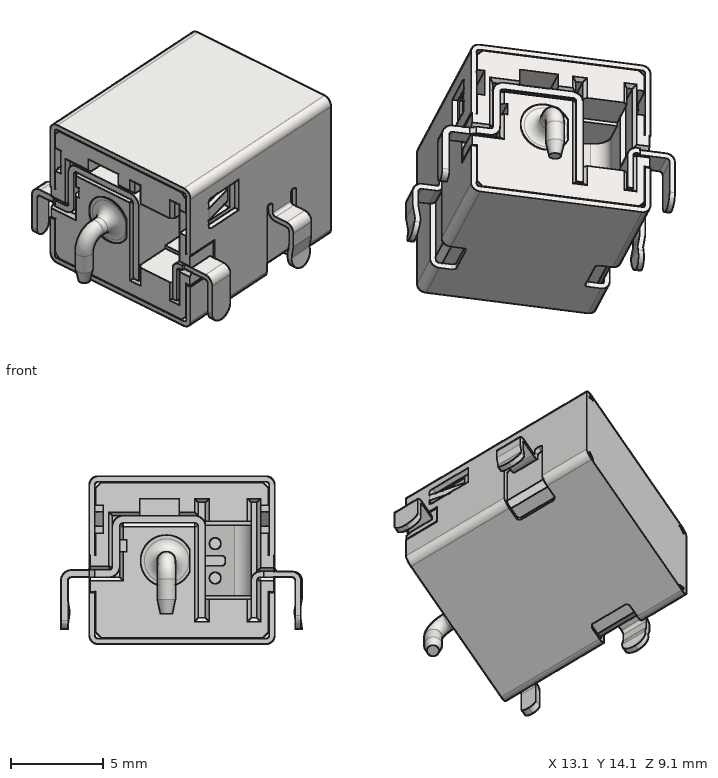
import cadquery as cq
import math


ROUND_MARGIN = 0.001

SHELL_WIDTH = 10.04
SHELL_DEPTH = 11.6
SHELL_HEIGHT = 9.1
SHEET = 0.31
SHELL_RADIUS = 0.5
SIDE = SHELL_WIDTH / 2
INNER_SIDE = SIDE - SHEET

BLOCK_GAP = 0.04
GAP_DEPTH = 0.28
BLOCK_CHAMFER = 0.37

LUG_DEPTH = 2.02
LUG_BOTTOM = 2.79
LUG_TOP = 4.81
LUG_CLEARANCE = 0.05

LATCH_FRONT = 1.51
LATCH_BACK = 4.0
LATCH_MIDDLE = 6.77
LATCH_HEIGHT = 2.0
LATCH_RADIUS = 0.23
RECESS_DEPTH = 0.45
RECESS_BACK = 3.58
RECESS_HEIGHT = 1.51
TONGUE_HEIGHT = 0.78
TONGUE_INSET = 0.44

SHELL_LEG_MIDDLE = 7.53
SHELL_LEG_WIDTH = 1.5
ARM_TOP = 3.93
SHELL_LEG_REACH = 6.5
RELIEF = 0.47
RELIEF_TOP = LUG_TOP
OPENING_TOP = 4.12
KINK_START = 2.54
KINK_HEIGHT = 1.75
KINK = 0.13
LEG_TIP = 0.82
FLOOR_NOTCH = 1.41
FLOOR_NOTCH_RADIUS = 0.21

GROOVE_CHAMFER = 0.2
INNER_BEND = GROOVE_CHAMFER
SLOT_BOTTOM = 1.42
SLOT_TOP = 7.67

LEFT_GROOVE_DEPTH = 1.97
LEFT_CONTACT_FRONT = 0.05
LEFT_LEG_FRONT = 0.25
LEFT_SHEET = 0.4
LEFT_LEG_OUTER = -6.55
LEFT_LEG_WIDTH = 0.95
LEFT_LEG_TOP = 4.02
LEFT_RISER = -3.76
LEFT_BRIDGE_TOP = 6.95
LEFT_SLOT = 0.87

RIGHT_GROOVE_DEPTH = 1.64
RIGHT_LEG_FRONT = 0.17
RIGHT_STEP = 4.43
RIGHT_LEG_OUTER = 6.43
RIGHT_LEG_WIDTH = 1.51
RIGHT_SLOT = 3.74

POCKET_LEFT = LEFT_SLOT + LEFT_SHEET
POCKET_RIGHT = RIGHT_SLOT
POCKET_TOP = 6.64
POCKET_BOTTOM = 2.43
POCKET_LEDGE = 0.2
LEDGE_DEPTH = 2.25
POCKET_DEPTH = 4.51
POCKET_SLOPE = 0.56
POCKET_CURVE = 0.92
SOCKET_RADIUS = 0.31
SOCKET_X = 1.79
SOCKET_PITCH = 1.86
SOCKET_DEPTH = 0.99
KEY_END = 2.34
KEY_HEIGHT = 0.54
KEY_RADIUS = 0.18

BRIDGE_RECESS_WIDTH = 2.15
BRIDGE_RECESS_X = -1.21
BRIDGE_RECESS_TOP = 7.87
BRIDGE_RECESS_DEPTH = 1.69
NOTCH_WIDTH = 0.4
NOTCH_BOTTOM = 5.0
NOTCH_HEIGHT = 0.63

PIN_X = -0.85
PIN_Z = 4.51
PIN_RADIUS = 0.5
PIN_REACH = 2.5
PIN_BEND = 0.97
PIN_BEND_END = PIN_Z - PIN_BEND
PIN_TAPER_START = 2.43
PIN_TIP = 1.64
PIN_TIP_RADIUS = 0.32
FLARE_RADIUS = 0.7
SEAT_RADIUS = 1.4
SEAT_FLAT = 1.25
SEAT_DEPTH = 0.04


def box(x0, x1, y0, y1, z0, z1):
    return cq.Workplane("XY").box(x1 - x0, y1 - y0, z1 - z0, centered=False).translate((x0, y0, z0))


def both_sides(left):
    return left.union(left.mirror("YZ"))


def groove(x0, x1, z0, z1, depth):
    """Straight groove cut from the front face, with a 45 degree chamfer at its mouth."""
    mouth = (
        cq.Workplane("XZ", origin=((x0 + x1) / 2, 0, (z0 + z1) / 2))
        .rect(x1 - x0 + 2 * GROOVE_CHAMFER, z1 - z0 + 2 * GROOVE_CHAMFER)
        .extrude(-GROOVE_CHAMFER, taper=45)
    )
    return box(x0, x1, 0, depth, z0, z1).union(mouth)


def corner_relief(x, z, x_side, z_side, depth):
    """Rounds the block corner inside a groove bend, down to a sharp corner at the front face."""
    centre_x = x + x_side * GROOVE_CHAMFER
    centre_z = z + z_side * GROOVE_CHAMFER
    corner = box(min(x, centre_x), max(x, centre_x), 0, depth, min(z, centre_z), max(z, centre_z))
    forward = cq.Vector(0, 1, 0)
    cone = cq.Solid.makeCone(0, INNER_BEND, GROOVE_CHAMFER, cq.Vector(centre_x, 0, centre_z), forward)
    post = cq.Solid.makeCylinder(
        INNER_BEND, depth - GROOVE_CHAMFER, cq.Vector(centre_x, GROOVE_CHAMFER, centre_z), forward
    )
    return corner.cut(cq.Workplane(cone)).cut(cq.Workplane(post))


def bent_strip(points, thickness, bend, y0, y1):
    """Sheet strip along square-cornered centreline points (x, z), bent to one inside radius."""
    radius = bend + thickness / 2
    path = cq.Workplane("XZ", origin=(0, (y0 + y1) / 2, 0)).moveTo(*points[0])
    for before, corner, after in zip(points, points[1:], points[2:]):
        corner = cq.Vector(*corner)
        arrive = (corner - cq.Vector(*before)).normalized()
        leave = (cq.Vector(*after) - corner).normalized()
        centre = corner + (leave - arrive) * radius
        middle = centre + (arrive - leave) * (radius / math.sqrt(2))
        start = corner - arrive * radius
        end = corner + leave * radius
        path = path.lineTo(start.x, start.y).threePointArc((middle.x, middle.y), (end.x, end.y))
    path = path.lineTo(*points[-1])
    first = cq.Vector(*points[0])
    heading = (cq.Vector(*points[1]) - first).normalized()
    section = cq.Plane(
        origin=(first.x, (y0 + y1) / 2, first.y), xDir=(0, 1, 0), normal=(heading.x, 0, heading.y)
    )
    return cq.Workplane(section).rect(y1 - y0, thickness).sweep(path)


def round_tip(leg, width):
    return leg.faces("<Z").edges("|X").fillet(width / 2 - ROUND_MARGIN)


def make_shell():
    outer = box(-SIDE, SIDE, 0, SHELL_DEPTH, 0, SHELL_HEIGHT).edges("|Y").fillet(SHELL_RADIUS)
    inner = box(-INNER_SIDE, INNER_SIDE, 0, SHELL_DEPTH, SHEET, SHELL_HEIGHT - SHEET)
    shell = outer.cut(inner.edges("|Y").fillet(SHELL_RADIUS - SHEET))
    lug_opening = box(-SIDE, -INNER_SIDE, 0, LUG_DEPTH, LUG_BOTTOM, LUG_TOP)
    latch_window = box(
        -SIDE, -INNER_SIDE, LATCH_FRONT, LATCH_BACK,
        LATCH_MIDDLE - LATCH_HEIGHT / 2, LATCH_MIDDLE + LATCH_HEIGHT / 2,
    ).faces("<Y").edges("|X").fillet(LATCH_RADIUS)
    openings = lug_opening.union(latch_window).union(make_leg_opening())
    bent_parts = make_tongue().union(make_shell_leg())
    return shell.cut(both_sides(openings)).union(both_sides(bent_parts))


def make_leg_opening():
    half = SHELL_LEG_WIDTH / 2 + RELIEF
    y0 = SHELL_LEG_MIDDLE - half
    y1 = SHELL_LEG_MIDDLE + half
    opening = box(-SIDE, -INNER_SIDE, y0, y1, 0, OPENING_TOP)
    for start in (y0, y1 - RELIEF):
        slot = box(-SIDE, -INNER_SIDE, start, start + RELIEF, SHEET, RELIEF_TOP)
        opening = opening.union(slot.faces(">Z").edges("|X").fillet(RELIEF / 2 - ROUND_MARGIN))
    notch = box(-SIDE, -SIDE + FLOOR_NOTCH, y0, y1, 0, SHEET)
    notch = notch.faces(">X").edges("|Z").fillet(FLOOR_NOTCH_RADIUS)
    corner = box(-SIDE, -SIDE + SHELL_RADIUS, y0, y1, 0, SHELL_RADIUS)
    return opening.union(notch).union(corner)


def make_tongue():
    """Latch tongue hinged at the front of its window and sloping into the block's recess."""
    tip = INNER_SIDE - TONGUE_INSET
    return (
        cq.Workplane("XY", origin=(0, 0, LATCH_MIDDLE - TONGUE_HEIGHT / 2))
        .polyline([
            (-SIDE, LATCH_FRONT), (-INNER_SIDE, LATCH_FRONT),
            (-tip, RECESS_BACK), (-tip - SHEET, RECESS_BACK),
        ])
        .close()
        .extrude(TONGUE_HEIGHT)
    )


def make_shell_leg():
    y0 = SHELL_LEG_MIDDLE - SHELL_LEG_WIDTH / 2
    y1 = SHELL_LEG_MIDDLE + SHELL_LEG_WIDTH / 2
    wall = -SIDE + SHEET / 2
    arm = ARM_TOP - SHEET / 2
    leg = -SHELL_LEG_REACH + SHEET / 2
    upper = bent_strip(
        [(wall, RELIEF_TOP), (wall, arm), (leg, arm), (leg, KINK_START)], SHEET, INNER_BEND, y0, y1
    )
    outer = -SHELL_LEG_REACH
    lower = (
        cq.Workplane("XZ", origin=(0, y0, 0))
        .polyline([
            (outer, KINK_START), (outer + KINK, KINK_HEIGHT), (outer, LEG_TIP),
            (outer + SHEET, LEG_TIP), (outer + SHEET + KINK, KINK_HEIGHT), (outer + SHEET, KINK_START),
        ])
        .close()
        .extrude(y0 - y1)
    )
    return upper.union(round_tip(lower, SHELL_LEG_WIDTH))


def make_block():
    block = box(-INNER_SIDE, INNER_SIDE, 0, SHELL_DEPTH, SHEET, SHELL_HEIGHT - SHEET)
    block = block.edges("|Y").chamfer(BLOCK_CHAMFER)
    front = box(-INNER_SIDE, INNER_SIDE, 0, GAP_DEPTH, SHEET, SHELL_HEIGHT - SHEET)
    kept = box(
        -INNER_SIDE + BLOCK_GAP, INNER_SIDE - BLOCK_GAP, 0, GAP_DEPTH,
        SHEET + BLOCK_GAP, SHELL_HEIGHT - SHEET - BLOCK_GAP,
    )
    block = block.cut(front.cut(kept))
    lug = box(
        -SIDE + LUG_CLEARANCE, -INNER_SIDE + BLOCK_GAP, 0, LUG_DEPTH - LUG_CLEARANCE,
        LUG_BOTTOM + LUG_CLEARANCE, LUG_TOP,
    )
    latch_recess = box(
        -INNER_SIDE, -INNER_SIDE + RECESS_DEPTH, 0, RECESS_BACK,
        LATCH_MIDDLE - RECESS_HEIGHT / 2, LATCH_MIDDLE + RECESS_HEIGHT / 2,
    )
    block = block.union(both_sides(lug)).cut(both_sides(latch_recess))
    return block.cut(make_grooves()).cut(make_pocket()).cut(make_small_recesses())


def make_grooves():
    left_arm = LEFT_LEG_TOP - LEFT_SHEET
    left_bridge = LEFT_BRIDGE_TOP - LEFT_SHEET
    right_arm = ARM_TOP - SHEET
    riser_end = LEFT_RISER + LEFT_SHEET
    left_slot_end = LEFT_SLOT + LEFT_SHEET
    right_slot_end = RIGHT_SLOT + SHEET
    mouth_side = SIDE + GROOVE_CHAMFER
    left_deep = LEFT_GROOVE_DEPTH
    right_deep = RIGHT_GROOVE_DEPTH
    pieces = [
        groove(-mouth_side, riser_end, left_arm, LEFT_LEG_TOP, left_deep),
        groove(LEFT_RISER, riser_end, left_arm, LEFT_BRIDGE_TOP, left_deep),
        groove(LEFT_RISER, left_slot_end, left_bridge, LEFT_BRIDGE_TOP, left_deep),
        groove(LEFT_SLOT, left_slot_end, SLOT_BOTTOM, SLOT_TOP, left_deep),
        corner_relief(LEFT_RISER, LEFT_LEG_TOP, -1, 1, left_deep),
        corner_relief(riser_end, left_bridge, 1, -1, left_deep),
        corner_relief(LEFT_SLOT, left_bridge, -1, -1, left_deep),
        groove(RIGHT_SLOT, right_slot_end, SLOT_BOTTOM, SLOT_TOP, right_deep),
        groove(RIGHT_SLOT, mouth_side, right_arm, ARM_TOP, right_deep),
        corner_relief(right_slot_end, right_arm, 1, -1, right_deep),
    ]
    grooves = pieces[0]
    for piece in pieces[1:]:
        grooves = grooves.union(piece)
    return grooves


def make_pocket():
    """Stepped pocket whose sloping back wall holds sockets and curves forward on the right."""
    floor = POCKET_BOTTOM + POCKET_LEDGE
    ceiling = POCKET_TOP - POCKET_LEDGE
    pocket = box(POCKET_LEFT, POCKET_RIGHT, 0, LEDGE_DEPTH, POCKET_BOTTOM, POCKET_TOP)
    curve_left = POCKET_RIGHT - POCKET_CURVE
    inner = (
        cq.Workplane("XY", origin=(0, 0, floor))
        .moveTo(POCKET_LEFT, LEDGE_DEPTH)
        .lineTo(POCKET_LEFT, POCKET_DEPTH + POCKET_SLOPE)
        .lineTo(curve_left, POCKET_DEPTH)
        .radiusArc((POCKET_RIGHT, POCKET_DEPTH - POCKET_CURVE), POCKET_CURVE)
        .lineTo(POCKET_RIGHT, LEDGE_DEPTH)
        .close()
        .extrude(ceiling - floor)
    )
    sockets = (
        cq.Workplane("XZ", origin=(SOCKET_X, POCKET_DEPTH, PIN_Z))
        .rarray(0.14, SOCKET_PITCH, 1, 2)
        .circle(SOCKET_RADIUS)
        .extrude(-SOCKET_DEPTH)
    )
    key = box(
        POCKET_LEFT, KEY_END, POCKET_DEPTH, POCKET_DEPTH + SOCKET_DEPTH,
        PIN_Z - KEY_HEIGHT / 2, PIN_Z + KEY_HEIGHT / 2,
    ).faces(">X").edges("|Y").fillet(KEY_RADIUS)
    return pocket.union(inner).union(sockets).union(key)


def make_small_recesses():
    bridge_recess = box(
        BRIDGE_RECESS_X - BRIDGE_RECESS_WIDTH / 2, BRIDGE_RECESS_X + BRIDGE_RECESS_WIDTH / 2,
        0, BRIDGE_RECESS_DEPTH, LEFT_BRIDGE_TOP, BRIDGE_RECESS_TOP,
    )
    notch_left = LEFT_RISER + LEFT_SHEET
    notch = box(
        notch_left, notch_left + NOTCH_WIDTH, 0, LEFT_GROOVE_DEPTH,
        NOTCH_BOTTOM, NOTCH_BOTTOM + NOTCH_HEIGHT,
    )
    seat = cq.Workplane("XZ", origin=(PIN_X, 0, PIN_Z)).circle(SEAT_RADIUS).extrude(-SEAT_DEPTH)
    beyond_flat = box(
        PIN_X + SEAT_FLAT, PIN_X + SEAT_RADIUS, 0, SEAT_DEPTH, PIN_Z - SEAT_RADIUS, PIN_Z + SEAT_RADIUS
    )
    return bridge_recess.union(notch).union(seat.cut(beyond_flat))


def make_left_contact():
    half = LEFT_SHEET / 2
    leg = LEFT_LEG_OUTER + half
    arm = LEFT_LEG_TOP - half
    riser = LEFT_RISER + half
    bridge = LEFT_BRIDGE_TOP - half
    blade = LEFT_SLOT + half
    leg_back = LEFT_LEG_FRONT + LEFT_LEG_WIDTH
    outside = bent_strip(
        [(leg, LEG_TIP), (leg, arm), (-INNER_SIDE, arm)], LEFT_SHEET, INNER_BEND, LEFT_LEG_FRONT, leg_back
    )
    inside = bent_strip(
        [(-INNER_SIDE, arm), (riser, arm), (riser, bridge), (blade, bridge), (blade, SLOT_BOTTOM)],
        LEFT_SHEET, INNER_BEND, LEFT_CONTACT_FRONT, LEFT_GROOVE_DEPTH,
    )
    ramp = (
        cq.Workplane("XY", origin=(0, 0, LEFT_LEG_TOP - LEFT_SHEET))
        .polyline([
            (-SIDE, LEFT_LEG_FRONT), (-INNER_SIDE, LEFT_CONTACT_FRONT), (-INNER_SIDE, LEFT_LEG_FRONT)
        ])
        .close()
        .extrude(LEFT_SHEET)
    )
    return round_tip(outside, LEFT_LEG_WIDTH).union(inside).union(ramp)


def make_right_contact():
    half = SHEET / 2
    leg = RIGHT_LEG_OUTER - half
    arm = ARM_TOP - half
    blade = RIGHT_SLOT + half
    leg_back = RIGHT_LEG_FRONT + RIGHT_LEG_WIDTH
    outside = bent_strip(
        [(leg, LEG_TIP), (leg, arm), (RIGHT_STEP, arm)], SHEET, INNER_BEND, RIGHT_LEG_FRONT, leg_back
    )
    inside = bent_strip(
        [(RIGHT_STEP, arm), (blade, arm), (blade, SLOT_BOTTOM)], SHEET, INNER_BEND, 0, RIGHT_GROOVE_DEPTH
    )
    return round_tip(outside, RIGHT_LEG_WIDTH).union(inside)


def make_pin():
    flare_start = SEAT_DEPTH - FLARE_RADIUS
    foot_radius = PIN_RADIUS + FLARE_RADIUS
    bend_start = PIN_BEND + PIN_RADIUS - PIN_REACH
    bend_end = bend_start - PIN_BEND
    flare = (
        cq.Workplane("XY")
        .moveTo(0, flare_start)
        .lineTo(PIN_RADIUS, flare_start)
        .radiusArc((foot_radius, SEAT_DEPTH), FLARE_RADIUS)
        .lineTo(0, SEAT_DEPTH)
        .close()
        .revolve(360, (0, 0), (0, 1))
        .translate((PIN_X, 0, PIN_Z))
    )
    path = (
        cq.Workplane("YZ", origin=(PIN_X, 0, 0))
        .moveTo(flare_start, PIN_Z)
        .lineTo(bend_start, PIN_Z)
        .radiusArc((bend_end, PIN_BEND_END), -PIN_BEND)
        .lineTo(bend_end, PIN_TAPER_START)
    )
    rod = cq.Workplane("XZ", origin=(PIN_X, flare_start, PIN_Z)).circle(PIN_RADIUS).sweep(path)
    tip = (
        cq.Workplane("XY", origin=(PIN_X, bend_end, PIN_TIP))
        .circle(PIN_TIP_RADIUS)
        .workplane(offset=PIN_TAPER_START - PIN_TIP)
        .circle(PIN_RADIUS)
        .loft()
    )
    return flare.union(rod).union(tip)


result = make_shell().union(make_block())
for fitting in (make_left_contact(), make_right_contact(), make_pin()):
    result = result.union(fitting)